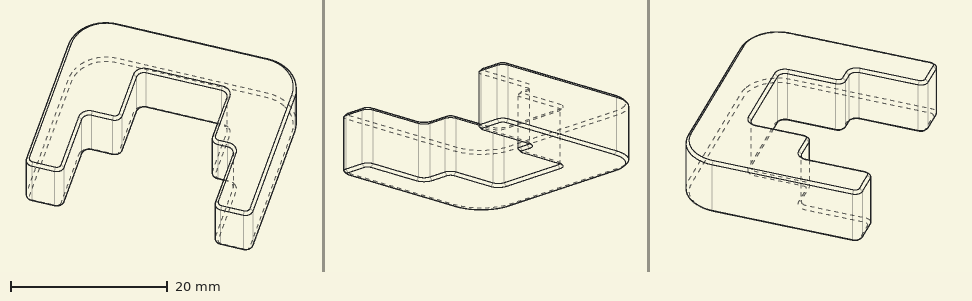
import cadquery as cq

width = 30.1
depth = 25.0
height = 8.0

arm_width = 5.0
mouth_depth = 10.0
back_wall = 6.5
left_ledge = 4.8
right_ledge = 3.3

outer_back_radius = 5.0
small_radius = 1.0
chamfer_size = 0.4

left = -width / 2
right = width / 2
front = -depth / 2
back = depth / 2
mouth_left = left + arm_width
mouth_right = right - arm_width
recess_left = mouth_left + left_ledge
recess_right = mouth_right - right_ledge
ledge_y = front + mouth_depth
recess_y = back - back_wall


def bracket_body():
    """Sharp-cornered U block with a narrower recess behind its mouth."""
    outline = [
        (left, front),
        (mouth_left, front),
        (mouth_left, ledge_y),
        (recess_left, ledge_y),
        (recess_left, recess_y),
        (recess_right, recess_y),
        (recess_right, ledge_y),
        (mouth_right, ledge_y),
        (mouth_right, front),
        (right, front),
        (right, back),
        (left, back),
    ]
    return cq.Workplane("XY").polyline(outline).close().extrude(height / 2, both=True)


def round_vertical_edges(body):
    """Large radius on the two outer back corners, small radius on all others."""
    rounded_front = body.edges("|Z").edges("not >Y").fillet(small_radius)
    return rounded_front.faces(">Y").edges("|Z").fillet(outer_back_radius)


def chamfer_rims(body):
    """Chamfer along the whole outline of the top and bottom faces."""
    return body.faces("<Z or >Z").edges().chamfer(chamfer_size)


result = chamfer_rims(round_vertical_edges(bracket_body()))